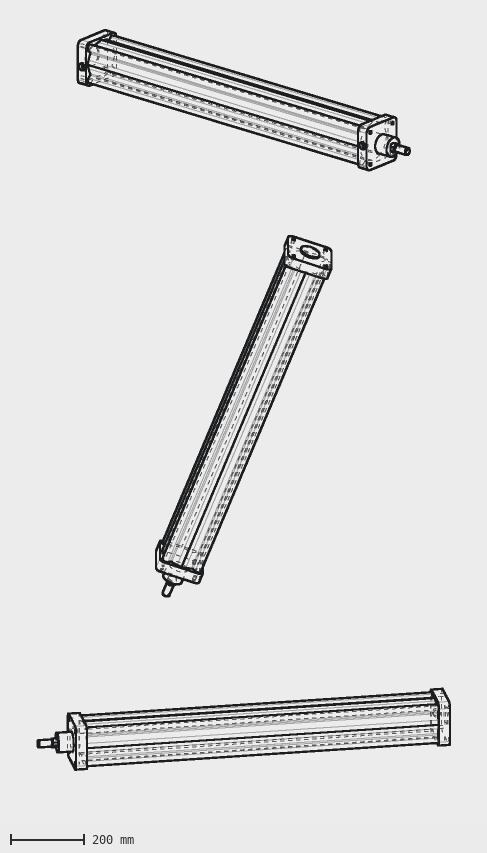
import cadquery as cq
import math

total_length = 1131.0
spigot_length = 4.0
cap_thickness = 30.0
neck_length = 41.0
collar_length = 16.0
stud_length = 37.0

cap_width = 125.0
cap_corner_radius = 15.0
spigot_radius = 27.0
port_radius = 10.0
port_offset = 8.5
port_depth = 11.0
screw_spacing = 93.0
screw_hole_radius = 4.0
screw_hole_depth = 11.0

barrel_radius = 54.0
column_radius = 9.6
root_fillet_radius = 3.0
ridge_half_width = 12.0
ridge_height = 57.0
side_count = 4

collar_radius = 12.0
flat_half_width = 11.0
flat_length = 12.0
stud_radius = 10.0
stud_chamfer = 2.0
collar_chamfer = 2.0

tolerance = 0.01

rear_cap_start = spigot_length
barrel_start = rear_cap_start + cap_thickness
rod_start = total_length - stud_length - collar_length
front_cap_end = rod_start - neck_length
barrel_end = front_cap_end - cap_thickness
barrel_length = barrel_end - barrel_start

screw_centres = [
    (y_side * screw_spacing / 2, z_side * screw_spacing / 2)
    for y_side in (-1, 1)
    for z_side in (-1, 1)
]


def disc(start, length, radius):
    """Cylinder along X beginning at the given X."""
    return cq.Workplane("YZ", origin=(start, 0, 0)).circle(radius).extrude(length)


def cap_block(start):
    """Square block with rounded corners, shared by both end caps."""
    return (
        cq.Workplane("YZ", origin=(start, 0, 0))
        .rect(cap_width, cap_width)
        .extrude(cap_thickness)
        .edges("|X")
        .fillet(cap_corner_radius)
    )


def port(cap_start, height):
    """Blind air port bored into the -Y side of a cap."""
    return (
        cq.Workplane("XZ", origin=(cap_start + cap_thickness / 2, -cap_width / 2, height))
        .circle(port_radius)
        .extrude(-port_depth)
    )


def screw_holes(start, depth):
    """Four blind holes along X at the cap corners."""
    return (
        cq.Workplane("YZ", origin=(start, 0, 0))
        .pushPoints(screw_centres)
        .circle(screw_hole_radius)
        .extrude(depth)
    )


def make_rear_cap():
    """Rear end cap with its locating spigot, air port and screw holes."""
    spigot = disc(0, spigot_length, spigot_radius)
    cap = cap_block(rear_cap_start).union(spigot)
    cap = cap.cut(port(rear_cap_start, -port_offset))
    return cap.cut(screw_holes(rear_cap_start, screw_hole_depth))


def make_front_cap():
    """Front end cap with the neck that ends at the piston rod, air port and screw holes."""
    neck = disc(front_cap_end, neck_length, spigot_radius)
    cap = cap_block(barrel_end).union(neck)
    cap = cap.cut(port(barrel_end, port_offset))
    return cap.cut(screw_holes(front_cap_end, -screw_hole_depth))


def corner_columns():
    """Two crossed diagonal webs whose round ends form the four corner columns."""
    web_length = screw_spacing * math.sqrt(2) + 2 * column_radius
    section = cq.Workplane("YZ", origin=(barrel_start, 0, 0))
    rising = section.slot2D(web_length, 2 * column_radius, 45).extrude(barrel_length)
    falling = section.slot2D(web_length, 2 * column_radius, -45).extrude(barrel_length)
    return rising.union(falling)


def is_column_root(edge):
    """True for the lengthwise edges where a column wall meets the round core."""
    centre = edge.Center()
    on_core = abs(math.hypot(centre.y, centre.z) - barrel_radius) < tolerance
    off_seam = min(abs(centre.y), abs(centre.z)) > ridge_half_width
    return on_core and off_seam


def side_ridge(angle):
    """Shallow V-shaped rail along the barrel, turned about X to one of its sides."""
    foot_height = math.sqrt(barrel_radius**2 - ridge_half_width**2)
    return (
        cq.Workplane("YZ", origin=(barrel_start, 0, 0))
        .moveTo(0, 0)
        .lineTo(ridge_half_width, foot_height)
        .lineTo(0, ridge_height)
        .lineTo(-ridge_half_width, foot_height)
        .close()
        .extrude(barrel_length)
        .rotate((0, 0, 0), (1, 0, 0), angle)
    )


def make_barrel():
    """Solid round core with four corner columns and a ridge along each side."""
    barrel = disc(barrel_start, barrel_length, barrel_radius).union(corner_columns())
    barrel = barrel.edges("|X").filter(is_column_root).fillet(root_fillet_radius)
    for side in range(side_count):
        barrel = barrel.union(side_ridge(side * 360 / side_count))
    return barrel


def wrench_flat_cut(side):
    """Block that cuts a wrench flat into the +Y (side 1) or -Y (side -1) of the collar."""
    centre = (rod_start + flat_length / 2, side * (flat_half_width + collar_radius / 2), 0)
    return cq.Workplane("XY", origin=centre).box(flat_length, collar_radius, 2 * collar_radius)


def make_piston_rod():
    """Collar with two opposite wrench flats, then a chamfered stud."""
    collar = disc(rod_start, collar_length, collar_radius).faces(">X").chamfer(collar_chamfer)
    for side in (-1, 1):
        collar = collar.cut(wrench_flat_cut(side))
    stud = disc(rod_start + collar_length, stud_length, stud_radius).faces(">X").chamfer(stud_chamfer)
    return collar.union(stud)


rear_cap = make_rear_cap()
barrel = make_barrel()
front_cap = make_front_cap()
piston_rod = make_piston_rod()

result = cq.Compound.makeCompound(
    [rear_cap.val(), barrel.val(), front_cap.val(), piston_rod.val()]
)